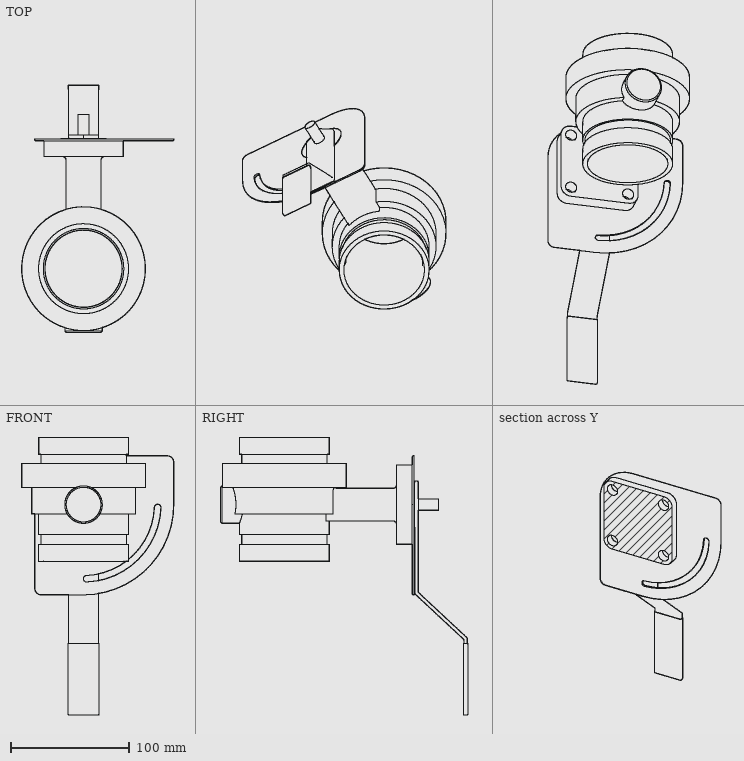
import cadquery as cq
import math


pipe_dia = 76.1
groove_dia = 72.4
collar_dia = 104.8
barrel_dia = 87.9
bore_dia = 65.0
mouth_dia = 68.1
mouth_depth = 10.8
top_z = 56.9
upper_groove_top = 42.5
collar_top = 34.8
collar_bottom = 14.3
barrel_bottom = -7.8
lower_groove_top = -25.4
lower_groove_bottom = -33.5
bottom_z = -48.0

boss_dia = 31.7
boss_end_y = -54.0
boss_chamfer = 1.2

neck_width = 29.8
neck_height = 27.7
neck_edge_radius = 1.6
neck_root_radius = 2.8
flange_side = 67.2
flange_front_y = 94.7
flange_back_y = 108.0
flange_corner_radius = 8.5
bolt_hole_dia = 9.6
bolt_spacing = 49.8

plate_radius = 76.4
plate_margin = 41.4
plate_thickness = 1.6
plate_large_corner = 31.7
plate_small_corner = 5.6
plate_edge_radius = 1.2
slot_radius = 62.7
slot_width = 5.5
slot_end_angle = 2.3
quarter_turn = 90

stem_dia = 9.6
stem_end_y = 130.5
washer_dia = 38.0
washer_thickness = 0.5

lever_width = 25.5
lever_thickness = 3.0
lever_peak_z = 20.0
lever_shoulder_z = 8.7
lever_upper_bend_z = -75.5
lever_lower_bend_z = -114.2
lever_bend_radius = 1.9
lever_shoulder_radius = 2.8
lever_edge_radius = 0.7
grip_width = 26.3
grip_thickness = 4.0
grip_top_z = -117.5
grip_bottom_z = -178.0
grip_back_y = 155.3
grip_edge_radius = 1.2

pick_margin = 2.0

plate_back_y = flange_back_y + plate_thickness
lever_front_y = plate_back_y + washer_thickness


def rod(diameter, y_start, y_end):
    """Cylinder along the stem axis."""
    plane = cq.Workplane("XZ", origin=(0, y_start, 0))
    return plane.circle(diameter / 2).extrude(y_start - y_end)


def block(width, height, y_start, y_end):
    """Rectangular bar centred on the stem axis."""
    plane = cq.Workplane("XZ", origin=(0, y_start, 0))
    return plane.rect(width, height).extrude(y_start - y_end)


def make_body():
    sections = [
        (bottom_z, pipe_dia),
        (lower_groove_bottom, groove_dia),
        (lower_groove_top, pipe_dia),
        (barrel_bottom, barrel_dia),
        (collar_bottom, collar_dia),
        (collar_top, groove_dia),
        (upper_groove_top, pipe_dia),
    ]
    section_ends = [start for start, _ in sections[1:]] + [top_z]
    profile = cq.Workplane("XZ").moveTo(0, bottom_z)
    for (start, diameter), end in zip(sections, section_ends):
        profile = profile.lineTo(diameter / 2, start).lineTo(diameter / 2, end)
    return profile.lineTo(0, top_z).close().revolve(360, (0, 0, 0), (0, 1, 0))


def make_bore():
    """Straight bore that widens in a cone towards both ends."""
    return (
        cq.Workplane("XZ")
        .moveTo(0, bottom_z)
        .lineTo(mouth_dia / 2, bottom_z)
        .lineTo(bore_dia / 2, bottom_z + mouth_depth)
        .lineTo(bore_dia / 2, top_z - mouth_depth)
        .lineTo(mouth_dia / 2, top_z)
        .lineTo(0, top_z)
        .close()
        .revolve(360, (0, 0, 0), (0, 1, 0))
    )


def make_mount():
    """Square flange on a rectangular neck, with a fillet at the root of the neck."""
    flange = block(flange_side, flange_side, flange_front_y, flange_back_y)
    flange = flange.edges("|Y").fillet(flange_corner_radius)
    neck = block(neck_width, neck_height, 0, flange_front_y)
    neck = neck.edges("|Y").fillet(neck_edge_radius)
    root = cq.selectors.BoxSelector(
        (-neck_width, flange_front_y - pick_margin, -neck_height),
        (neck_width, flange_front_y + pick_margin, neck_height),
    )
    mount = flange.union(neck).edges(root).fillet(neck_root_radius)
    holes = (
        cq.Workplane("XZ", origin=(0, flange_front_y, 0))
        .rect(bolt_spacing, bolt_spacing, forConstruction=True)
        .vertices()
        .circle(bolt_hole_dia / 2)
        .extrude(flange_front_y - flange_back_y)
    )
    return mount.cut(holes)


def polar(radius, degrees):
    angle = math.radians(degrees)
    return radius * math.cos(angle), radius * math.sin(angle)


def make_slot():
    """Arc slot about the stem axis with round ends."""
    inner = slot_radius - slot_width / 2
    outer = slot_radius + slot_width / 2
    first = -slot_end_angle
    last = slot_end_angle - quarter_turn
    middle = (first + last) / 2
    cap = math.degrees(slot_width / 2 / slot_radius)
    return (
        cq.Workplane("XZ", origin=(0, flange_back_y, 0))
        .moveTo(*polar(outer, first))
        .threePointArc(polar(outer, middle), polar(outer, last))
        .threePointArc(polar(slot_radius, last - cap), polar(inner, last))
        .threePointArc(polar(inner, middle), polar(inner, first))
        .threePointArc(polar(slot_radius, first + cap), polar(outer, first))
        .close()
        .extrude(-plate_thickness)
    )


def make_plate():
    plate = (
        cq.Workplane("XZ", origin=(0, flange_back_y, 0))
        .moveTo(-plate_margin, plate_margin)
        .lineTo(plate_radius, plate_margin)
        .lineTo(plate_radius, 0)
        .threePointArc(polar(plate_radius, -quarter_turn / 2), (0, -plate_radius))
        .lineTo(-plate_margin, -plate_radius)
        .close()
        .extrude(-plate_thickness)
    )
    plate = plate.edges("|Y and <X and >Z").fillet(plate_large_corner)
    plate = plate.edges("|Y").edges(">(1, 0, 1) or <(1, 0, 1)").fillet(plate_small_corner)
    plate = plate.faces("<Y").edges().fillet(plate_edge_radius)
    return plate.cut(make_slot())


def make_lever():
    """Cranked strip with a pointed head, rounded at its shoulders, and a thicker grip at its lower end."""
    grip_front_y = grip_back_y - grip_thickness
    strip_end_y = grip_front_y + (grip_thickness - lever_thickness) / 2
    slope = math.atan2(lever_upper_bend_z - lever_lower_bend_z, strip_end_y - lever_front_y)
    bend_shift = lever_thickness * math.tan((math.pi / 2 - slope) / 2)
    lever_back_y = lever_front_y + lever_thickness
    strip_end_back_y = strip_end_y + lever_thickness
    strip = (
        cq.Workplane("YZ")
        .polyline([
            (lever_front_y, lever_peak_z),
            (lever_front_y, lever_upper_bend_z),
            (strip_end_y, lever_lower_bend_z),
            (strip_end_y, grip_top_z),
            (strip_end_back_y, grip_top_z),
            (strip_end_back_y, lever_lower_bend_z + bend_shift),
            (lever_back_y, lever_upper_bend_z + bend_shift),
            (lever_back_y, lever_peak_z),
        ])
        .close()
        .extrude(lever_width / 2, both=True)
    )
    bends = cq.selectors.BoxSelector(
        (-lever_width, lever_front_y - pick_margin, lever_lower_bend_z - pick_margin),
        (lever_width, grip_back_y, lever_upper_bend_z + pick_margin),
    )
    strip = strip.edges("|X").edges(bends).fillet(lever_bend_radius)
    outline = (
        cq.Workplane("XZ", origin=(0, lever_front_y, 0))
        .polyline([
            (-lever_width / 2, grip_top_z),
            (-lever_width / 2, lever_shoulder_z),
            (0, lever_peak_z),
            (lever_width / 2, lever_shoulder_z),
            (lever_width / 2, grip_top_z),
        ])
        .close()
        .extrude(lever_front_y - grip_back_y)
    )
    shoulders = cq.selectors.BoxSelector(
        (-lever_width, lever_front_y, lever_shoulder_z - pick_margin),
        (lever_width, grip_back_y, lever_shoulder_z + pick_margin),
    )
    outline = outline.edges("|Y").edges(shoulders).fillet(lever_shoulder_radius)
    strip = strip.intersect(outline)
    strip = strip.edges("not |X").edges("not |Y").fillet(lever_edge_radius)
    grip = (
        cq.Workplane("XY")
        .box(grip_width, grip_thickness, grip_top_z - grip_bottom_z, centered=(True, False, False))
        .translate((0, grip_front_y, grip_bottom_z))
    )
    grip = grip.edges("|Z or <Z").fillet(grip_edge_radius)
    return strip.union(grip)


boss = rod(boss_dia, boss_end_y, 0).faces("<Y").chamfer(boss_chamfer)
washer = rod(washer_dia, plate_back_y, lever_front_y)
stem = rod(stem_dia, flange_front_y, stem_end_y)

result = make_body().union(boss).union(make_mount()).cut(make_bore())
for piece in (make_plate(), washer, make_lever(), stem):
    result = result.union(piece)